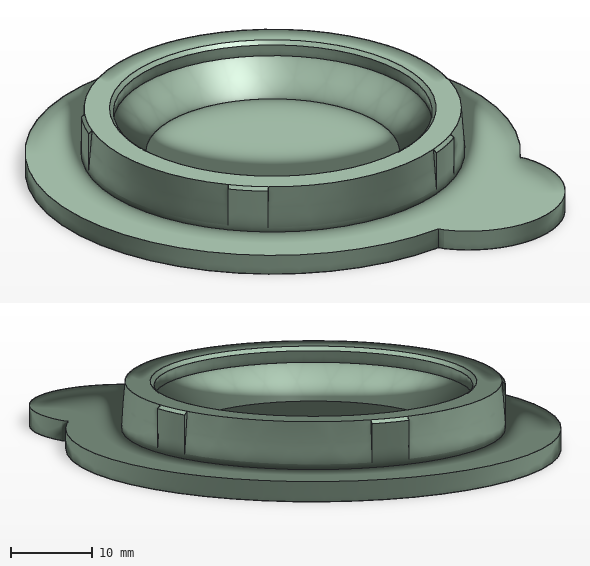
import cadquery as cq

total_length = 69.1
plate_diameter = 61.0
plate_radius = plate_diameter / 2
plate_height = 2.55

total_height = 8.5
ring_foot_radius = 23.6
ring_foot_height = 0.6

bore_radius = 39.2 / 2
mouth_chamfer = 0.5
floor_radius = 15.6
floor_height = plate_height
cone_top_height = floor_height + (bore_radius - floor_radius)

pad_count = 5
pad_width = 5.0
pad_inner_distance = 22.45
pad_chamfer = 0.4
ring_top_radius = ring_foot_radius - pad_chamfer

tab_start = 24.2
tab_half_width = 11.7
tab_arc_start = 28.95
tab_tip = total_length - plate_radius


def make_plate():
    return cq.Workplane("XY").circle(plate_radius).extrude(plate_height)


def make_tab():
    return (
        cq.Workplane("XY")
        .moveTo(tab_start, -tab_half_width)
        .lineTo(tab_arc_start, -tab_half_width)
        .threePointArc((tab_tip, 0), (tab_arc_start, tab_half_width))
        .lineTo(tab_start, tab_half_width)
        .close()
        .extrude(plate_height)
    )


def revolve_profile(points):
    """Revolve a closed (radius, height) outline about the Z axis."""
    return cq.Workplane("XZ").polyline(points).close().revolve(360, (0, 0), (0, 1))


def make_ring():
    """Straight cylinder with a chamfered top edge, from which the pads are left standing."""
    return revolve_profile([
        (0, 0),
        (ring_foot_radius, 0),
        (ring_foot_radius, total_height - pad_chamfer),
        (ring_top_radius, total_height),
        (0, total_height),
    ])


def make_recess():
    return revolve_profile([
        (0, floor_height),
        (floor_radius, floor_height),
        (bore_radius, cone_top_height),
        (bore_radius, total_height - mouth_chamfer),
        (bore_radius + mouth_chamfer, total_height),
        (0, total_height),
    ])


def make_pad_blocks():
    """Radial blocks, evenly spaced from +X, that mark where the pads stay."""
    block = cq.Workplane("XY").box(
        plate_radius - pad_inner_distance, pad_width, total_height, centered=(False, True, False)
    ).translate((pad_inner_distance, 0, 0))
    blocks = block
    for index in range(1, pad_count):
        angle = index * 360 / pad_count
        blocks = blocks.union(block.rotate((0, 0, 0), (0, 0, 1), angle))
    return blocks


def make_wall_taper():
    """Material removed between the pads to taper the ring wall above its foot."""
    foot_top = plate_height + ring_foot_height
    outside = revolve_profile([
        (ring_foot_radius, foot_top),
        (plate_radius, foot_top),
        (plate_radius, total_height),
        (ring_top_radius, total_height),
    ])
    return outside.cut(make_pad_blocks())


result = (
    make_plate()
    .union(make_tab())
    .union(make_ring())
    .cut(make_wall_taper())
    .cut(make_recess())
)